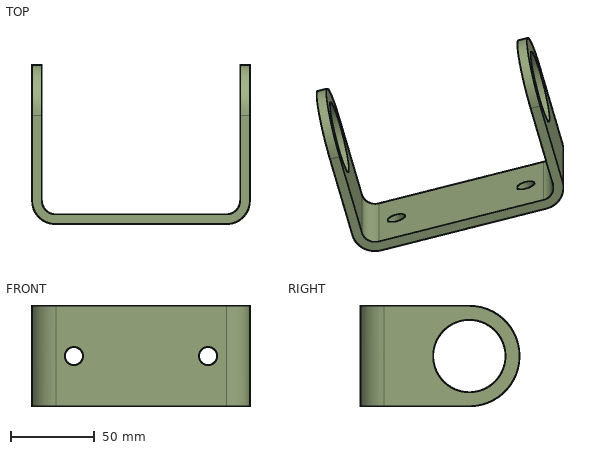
import cadquery as cq

width = 130.0
depth = 95.0
height = 60.0

thickness = 6.0
outer_bend_radius = 14.0
inner_bend_radius = outer_bend_radius - thickness

arm_hole_diameter = 43.0
mount_hole_diameter = 10.7
mount_hole_spacing = 80.0

arm_end_radius = height / 2
arm_end_center_y = depth / 2 - arm_end_radius


def rounded_block(block_width, front_y, back_y, bend_radius):
    """Upright block whose two front vertical edges are rounded."""
    return (
        cq.Workplane("XY")
        .box(block_width, back_y - front_y, height)
        .translate((0, (front_y + back_y) / 2, 0))
        .edges("|Z and <Y")
        .fillet(bend_radius)
    )


def arm_profile():
    """Side outline extruded across the width, giving both arms round ends."""
    return (
        cq.Workplane("YZ")
        .moveTo(-depth / 2, -height / 2)
        .lineTo(arm_end_center_y, -height / 2)
        .threePointArc((depth / 2, 0), (arm_end_center_y, height / 2))
        .lineTo(-depth / 2, height / 2)
        .close()
        .extrude(width / 2, both=True)
    )


def arm_holes():
    """One cylinder along X that pierces both arms."""
    return (
        cq.Workplane("YZ")
        .center(arm_end_center_y, 0)
        .circle(arm_hole_diameter / 2)
        .extrude(width / 2, both=True)
    )


def mount_holes():
    """Two cylinders along Y that pierce the web."""
    return (
        cq.Workplane("XZ")
        .pushPoints([(side * mount_hole_spacing / 2, 0) for side in (-1, 1)])
        .circle(mount_hole_diameter / 2)
        .extrude(depth / 2, both=True)
    )


outer_block = rounded_block(width, -depth / 2, depth / 2, outer_bend_radius)
inner_space = rounded_block(
    width - 2 * thickness, -depth / 2 + thickness, depth / 2, inner_bend_radius
)

result = (
    outer_block.cut(inner_space)
    .intersect(arm_profile())
    .cut(arm_holes())
    .cut(mount_holes())
)